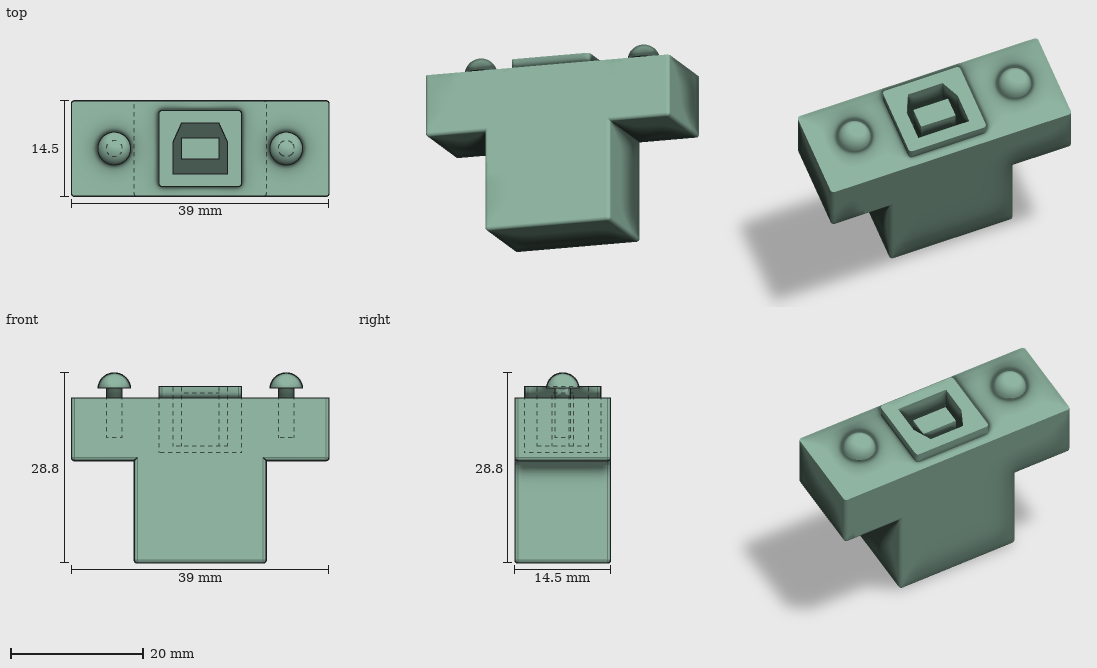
import cadquery as cq

housing_length = 39.0
housing_depth = 14.5
housing_height = 25.0
flange_height = 9.5
stem_length = 20.0
edge_radius = 0.5

shell_length = 12.5
shell_depth = 11.5
shell_projection = 1.75
shell_floor_thickness = 1.0

socket_length = 8.25
socket_width = 7.75
socket_far_length = 5.6
socket_corner_drop = 2.92
socket_depth = 9.0

tongue_length = 5.6
tongue_width = 3.2
tongue_recess = 1.0

screw_spacing = 26.0
shank_diameter = 2.4
shank_exposed_length = 1.5
shank_buried_length = 6.0
head_radius = 2.5
overall_height = 28.8

socket_floor_z = shell_projection - socket_depth
shell_bottom_z = socket_floor_z - shell_floor_thickness
shell_height = shell_projection - shell_bottom_z
head_base_z = shank_exposed_length
head_top_z = overall_height - housing_height
screw_positions = [-screw_spacing / 2, screw_spacing / 2]


def make_shell_block():
    """Outer block of the connector, also the shape of its recess in the housing."""
    return (
        cq.Workplane("XY", origin=(0, 0, shell_bottom_z))
        .rect(shell_length, shell_depth)
        .extrude(shell_height)
        .edges("|Z")
        .fillet(edge_radius)
    )


def make_shank(x, exposed_length):
    """Screw shank at x, ending exposed_length above the housing."""
    return (
        cq.Workplane("XY", origin=(x, 0, -shank_buried_length))
        .circle(shank_diameter / 2)
        .extrude(shank_buried_length + exposed_length)
    )


def make_housing():
    """T-shaped block, rounded on all outer edges except those of the top face."""
    flange_end = housing_length / 2
    stem_side = stem_length / 2
    block = (
        cq.Workplane("XZ")
        .polyline([
            (-flange_end, 0),
            (flange_end, 0),
            (flange_end, -flange_height),
            (stem_side, -flange_height),
            (stem_side, -housing_height),
            (-stem_side, -housing_height),
            (-stem_side, -flange_height),
            (-flange_end, -flange_height),
        ])
        .close()
        .extrude(housing_depth / 2, both=True)
    )
    top_edges = cq.selectors.BoxSelector(
        (-housing_length, -housing_depth, -edge_radius),
        (housing_length, housing_depth, edge_radius),
    )
    inside_corner_edges = cq.selectors.BoxSelector(
        (-stem_side - edge_radius, -edge_radius, -flange_height - edge_radius),
        (stem_side + edge_radius, edge_radius, -flange_height + edge_radius),
    )
    block = block.edges(-(top_edges + inside_corner_edges)).fillet(edge_radius)

    block = block.cut(make_shell_block())
    for x in screw_positions:
        block = block.cut(make_shank(x, 0))
    return block


def make_shell():
    """Connector shell with its blind socket."""
    side = socket_length / 2
    far_side = socket_far_length / 2
    end = socket_width / 2
    socket = (
        cq.Workplane("XY", origin=(0, 0, socket_floor_z))
        .polyline([
            (-side, -end),
            (side, -end),
            (side, end - socket_corner_drop),
            (far_side, end),
            (-far_side, end),
            (-side, end - socket_corner_drop),
        ])
        .close()
        .extrude(socket_depth)
    )
    return make_shell_block().cut(socket)


def make_tongue():
    """Rectangular contact tongue, its top set below the rim of the socket."""
    return (
        cq.Workplane("XY", origin=(0, 0, socket_floor_z))
        .rect(tongue_length, tongue_width)
        .extrude(socket_depth - tongue_recess)
    )


def make_screw(x):
    """Screw with a flat-bottomed spherical head, held above the housing."""
    sphere = cq.Workplane("XY", origin=(x, 0, head_top_z - head_radius)).sphere(head_radius)
    above_base = (
        cq.Workplane("XY", origin=(x, 0, head_base_z))
        .rect(2 * head_radius, 2 * head_radius)
        .extrude(head_top_z - head_base_z)
    )
    head = sphere.intersect(above_base)
    return make_shank(x, shank_exposed_length).union(head)


housing = make_housing()
shell = make_shell()
tongue = make_tongue()
screws = [make_screw(x) for x in screw_positions]

result = cq.Compound.makeCompound([
    housing.val(),
    shell.val(),
    tongue.val(),
    *[screw.val() for screw in screws],
])